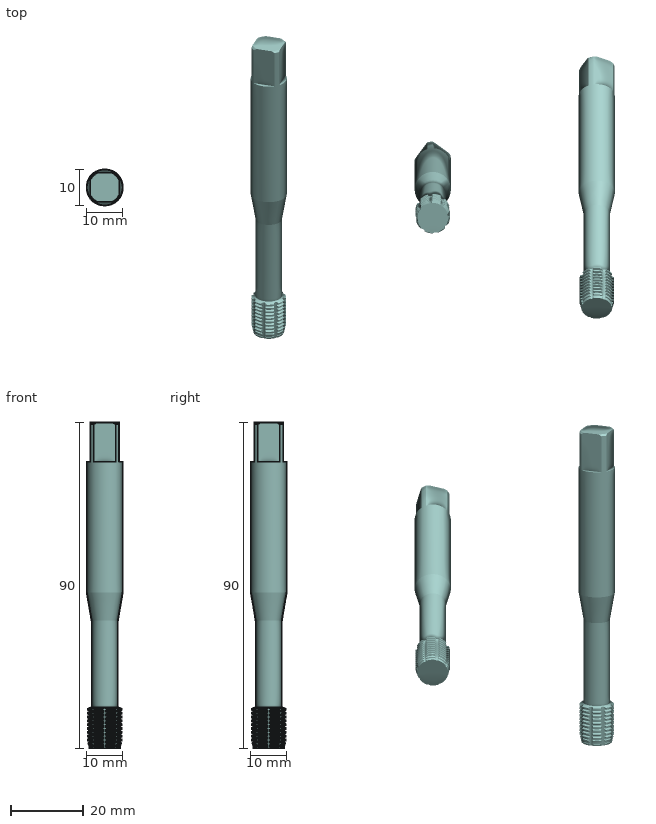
import cadquery as cq

total_length = 90.0
neck_top = 35.3
taper_top = 43.1
square_length = 10.8

shank_diameter = 10.0
neck_diameter = 7.3
square_width = 8.0
end_chamfer = 0.45

crest_diameter = 9.5
root_diameter = 8.4
crest_width = 0.25
flank_height = 0.225
top_crest = 10.8
lowest_full_crest = 2.3
full_pitches = 8
lead_ridges = 2
tip_diameter = 8.5
lead_length = 2.3

groove_count = 8
groove_radius = 0.675

pitch = (top_crest - lowest_full_crest) / full_pitches
half_crest = crest_width / 2
half_base = half_crest + flank_height

shank_radius = shank_diameter / 2
neck_radius = neck_diameter / 2
crest_radius = crest_diameter / 2
root_radius = root_diameter / 2
tip_radius = tip_diameter / 2
flank_slope = flank_height / (crest_radius - root_radius)

head_length = top_crest + half_crest + (crest_radius - neck_radius) * flank_slope


def make_shank():
    """Neck, taper and round shank with a driving square at the upper end."""
    shank = (
        cq.Workplane("XZ")
        .moveTo(0, head_length)
        .lineTo(neck_radius, head_length)
        .lineTo(neck_radius, neck_top)
        .lineTo(shank_radius, taper_top)
        .lineTo(shank_radius, total_length - end_chamfer)
        .lineTo(shank_radius - end_chamfer, total_length)
        .lineTo(0, total_length)
        .close()
        .revolve(360, (0, 0), (0, 1))
    )
    square_waste = (
        cq.Workplane("XY", origin=(0, 0, total_length - square_length))
        .rect(2 * shank_diameter, 2 * shank_diameter)
        .rect(square_width, square_width)
        .extrude(square_length)
    )
    return shank.cut(square_waste)


def make_ridged_blank():
    """Revolved head that climbs over every ridge; its foot extends below the tip plane."""
    first_crest = lowest_full_crest - lead_ridges * pitch
    outline = [(0, first_crest - half_base)]
    for ridge in range(lead_ridges + full_pitches + 1):
        crest_z = first_crest + ridge * pitch
        outline.append((root_radius, crest_z - half_base))
        outline.append((crest_radius, crest_z - half_crest))
        outline.append((crest_radius, crest_z + half_crest))
        outline.append((root_radius, crest_z + half_base))
    outline[-1] = (neck_radius, head_length)
    outline.append((0, head_length))
    return cq.Workplane("XZ").polyline(outline).close().revolve(360, (0, 0), (0, 1))


def make_lead_cone():
    """Envelope that ends the head flat at the tip and tapers the lowest ridges."""
    return (
        cq.Workplane("XZ")
        .moveTo(0, 0)
        .lineTo(tip_radius, 0)
        .lineTo(crest_radius, lead_length)
        .lineTo(crest_radius, head_length)
        .lineTo(0, head_length)
        .close()
        .revolve(360, (0, 0), (0, 1))
    )


def make_groove(angle):
    """Round cutter along the whole head, centred on the crest circle."""
    return (
        cq.Workplane("XY")
        .center(crest_radius, 0)
        .circle(groove_radius)
        .extrude(head_length)
        .rotate((0, 0, 0), (0, 0, 1), angle)
    )


def make_head():
    """Ridged head with its tapered lead and evenly spaced oil grooves."""
    head = make_ridged_blank().intersect(make_lead_cone())
    for index in range(groove_count):
        head = head.cut(make_groove(index * 360 / groove_count))
    return head


shank = make_shank()
head = make_head()
result = cq.Compound.makeCompound([shank.solids().val(), head.solids().val()])